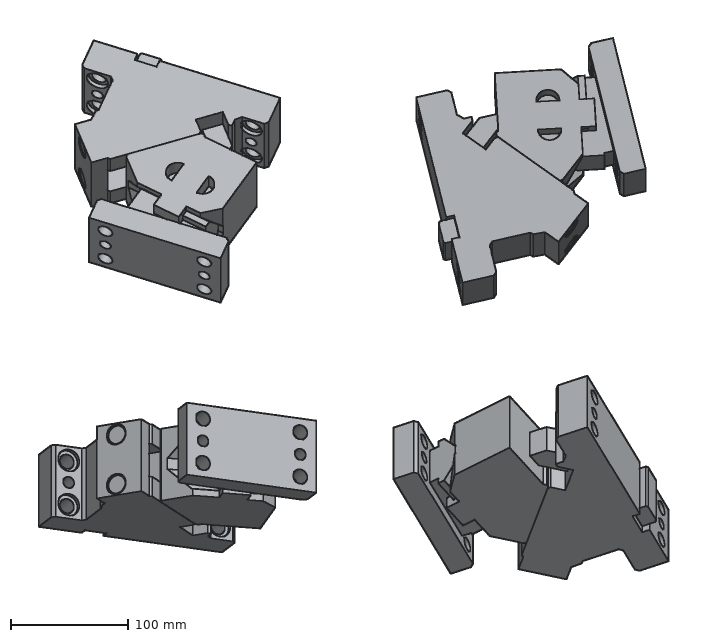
import cadquery as cq
import math


half_width = 32.5
slide_angle = math.radians(40)
guide_angle = math.radians(-10)
screw_spacing = 40.0
screw_diameter = 13.0
dowel_diameter = 10.0
hole_inset = 15.0
plate_chamfer = 3.0

flange_length = 170.0
flange_bottom = 145.3
flange_top = 175.5
counterbore_diameter = 19.5
counterbore_depth = 4.0
key_start = 40.0
key_width = 20.0
key_height = 7.0
key_length = 50.0
key_chamfer = 1.5
web_left = 30.0
web_left_chamfer = 3.0
web_foot_left = 28.0
web_foot_bottom = 107.0
web_foot_chamfer = 2.0
web_right = 142.2
web_right_chamfer = 4.7
web_right_bottom = 133.5

slide_origin = (55.0, 64.2)
retainer_thickness = 14.6
retainer_height = 42.7
slide_face = -1.8
edge_chamfer = 2.0
pocket_start = 84.3
pocket_end = 108.8
pocket_top = 13.3
stop_start = 90.2
stop_right = 144.9
stop_half_width = 14.8
relief_length = 23.2
relief_top = 29.2
retainer_screw_spacing = 44.7
retainer_screw_height = 24.0
recess_diameter = 18.2
recess_floor_diameter = 16.0
recess_depth = 1.1

slider_start = 15.5
slider_end = 86.0
slider_side = 31.0
slider_length = 76.5
slider_height = 70.6
slider_corner = 14.0
hook_start = 23.9
hook_end = 48.7
hook_depth = 12.8
lip_depth = 0.7
finger_hole_radius = 10.0
finger_hole_depth = 15.0
finger_hole_height = 27.0

ridge_half_width = 26.3
ridge_flat = 5.0
ridge_angle = math.radians(35)
neck_half_width = 20.0
rail_thickness = 6.0
driver_start = 1.5
driver_length = 70.0
base_left = 62.5
base_right = 182.5
base_thickness = 22.0
neck_step_height = 30.5
neck_foot_left = 88.1


def flat_plane(origin, angle):
    """Plane parallel to XY at Z = 0, with its first axis turned by the angle."""
    direction = (math.cos(angle), math.sin(angle), 0)
    return cq.Plane(origin=(*origin, 0), xDir=direction, normal=(0, 0, 1))


def place(plane, a, b):
    """World X and Y of a point given in the coordinates of a flat plane."""
    point = plane.toWorldCoords((a, b, 0))
    return point.x, point.y


slide_plane = flat_plane(slide_origin, slide_angle)
guide_plane = flat_plane(place(slide_plane, slider_start, slide_face - slider_side), guide_angle)


def slab(points, half_thickness, plane="XY"):
    """Straight-sided prism, symmetric about Z = 0."""
    return cq.Workplane(plane).polyline(points).close().extrude(half_thickness, both=True)


def box(plane, start, end, half_thickness):
    """Rectangular prism between two opposite corners, symmetric about Z = 0."""
    (a, b), (c, d) = start, end
    return slab([(a, b), (c, b), (c, d), (a, d)], half_thickness, plane)


def hole_rows(x_places, y, depth, diameter, z_places):
    """Round cutters that run toward +Y from the given Y."""
    centers = [(x, z) for x in x_places for z in z_places]
    return cq.Workplane("XZ", origin=(0, y, 0)).pushPoints(centers).circle(diameter / 2).extrude(-depth)


screw_rows = [-screw_spacing / 2, screw_spacing / 2]


def pocket_wall_x(y):
    """X of the pocket end wall at a given Y."""
    rise = y - slide_origin[1]
    return slide_origin[0] + (pocket_end - rise * math.sin(slide_angle)) / math.cos(slide_angle)


def pocket_wall_y(x):
    """Y of the pocket end wall at a given X."""
    run = x - slide_origin[0]
    return slide_origin[1] + (pocket_end - run * math.cos(slide_angle)) / math.sin(slide_angle)


def slider_top_y(x):
    """Y of the slider's far face at a given X."""
    corner_x, corner_y = place(guide_plane, slider_length, slider_height)
    return corner_y + (x - corner_x) * math.tan(guide_angle)


def upper_outline():
    return [
        (0, flange_top),
        (0, flange_bottom + plate_chamfer),
        (plate_chamfer, flange_bottom),
        (web_left - web_left_chamfer, flange_bottom),
        (web_left, flange_bottom - web_left_chamfer),
        (web_left, web_foot_bottom + web_foot_chamfer),
        (web_foot_left, web_foot_bottom),
        place(slide_plane, 0, retainer_height),
        place(slide_plane, 0, 0),
        place(slide_plane, edge_chamfer, slide_face),
        place(slide_plane, pocket_start - edge_chamfer, slide_face),
        place(slide_plane, pocket_start, slide_face + edge_chamfer),
        place(slide_plane, pocket_start, pocket_top),
        place(slide_plane, pocket_end, pocket_top),
        (pocket_wall_x(web_right_bottom), web_right_bottom),
        (web_right, web_right_bottom),
        (web_right, flange_bottom - web_right_chamfer),
        (web_right + web_right_chamfer, flange_bottom),
        (flange_length - plate_chamfer, flange_bottom),
        (flange_length, flange_bottom + plate_chamfer),
        (flange_length, flange_top),
    ]


def key():
    middle = key_start + key_width / 2
    blank = cq.Workplane("XY").box(key_width, 2 * key_height, key_length)
    blank = blank.edges("|Z and >Y").chamfer(key_chamfer)
    return blank.translate((middle, flange_top, 0))


def retainer_plate():
    plate = box(slide_plane, (-retainer_thickness, 0), (0, retainer_height), half_width)
    inward = (math.cos(slide_angle), math.sin(slide_angle), 0)
    for z in (-retainer_screw_spacing / 2, retainer_screw_spacing / 2):
        x, y = place(slide_plane, -retainer_thickness, retainer_screw_height)
        recess = cq.Solid.makeCone(
            recess_diameter / 2,
            recess_floor_diameter / 2,
            recess_depth,
            cq.Vector(x, y, z),
            cq.Vector(*inward),
        )
        plate = plate.cut(cq.Workplane(recess))
    return plate


def stop_block():
    inner_top = place(slide_plane, stop_start, pocket_top)
    side_start = place(slide_plane, stop_start, 0)
    lean = -math.tan(slide_angle)
    slope = math.tan(guide_angle)
    drop = (side_start[1] - slider_top_y(side_start[0])) / (1 - slope * lean)
    inner_bottom = (side_start[0] - lean * drop, side_start[1] - drop)
    return slab(
        [
            inner_top,
            inner_bottom,
            (stop_right, slider_top_y(stop_right)),
            (stop_right, pocket_wall_y(stop_right)),
            place(slide_plane, pocket_end, pocket_top),
        ],
        stop_half_width,
    )


def upper_body():
    body = slab(upper_outline(), half_width)
    flange_depth = flange_top - flange_bottom
    hole_columns = [hole_inset, flange_length - hole_inset]
    body = body.cut(hole_rows(hole_columns, flange_bottom, flange_depth, screw_diameter, screw_rows))
    body = body.cut(
        hole_rows(hole_columns, flange_bottom, counterbore_depth, counterbore_diameter, screw_rows)
    )
    body = body.cut(hole_rows(hole_columns, flange_bottom, flange_depth, dowel_diameter, [0]))
    keyway = box("XY", (key_start, flange_top - key_height), (key_start + key_width, flange_top), half_width)
    relief = box(slide_plane, (0, slide_face), (relief_length, relief_top), stop_half_width)
    body = body.cut(keyway).cut(relief)
    return body.union(key()).union(retainer_plate()).union(stop_block())


def guide_section(half_base, bottom):
    """Closed section of the V ridge with a straight-sided foot down to the given q."""
    height = (ridge_half_width - ridge_flat) * math.tan(ridge_angle)
    shoulder = (ridge_half_width - half_base) * math.tan(ridge_angle)
    return [
        (-half_base, bottom),
        (half_base, bottom),
        (half_base, shoulder),
        (ridge_flat, height),
        (-ridge_flat, height),
        (-half_base, shoulder),
    ]


def guide_prism(half_base, bottom, start, end):
    """Prism of the guide section, running along p."""
    x, y = place(guide_plane, start, 0)
    section_plane = cq.Plane(origin=(x, y, 0), xDir=(0, 0, -1), normal=guide_plane.xDir.toTuple())
    return cq.Workplane(section_plane).polyline(guide_section(half_base, bottom)).close().extrude(end - start)


def slider():
    turn = slide_angle - guide_angle
    span = slider_end - slider_start
    shoulder_v = (slider_height - span * math.sin(turn)) / math.cos(turn)
    shoulder_p = span * math.cos(turn) - shoulder_v * math.sin(turn)
    body = slab(
        [
            place(guide_plane, 0, 0),
            place(slide_plane, slider_start, slide_face - edge_chamfer),
            place(slide_plane, slider_start + edge_chamfer, slide_face),
            place(slide_plane, slider_end - edge_chamfer, slide_face),
            place(slide_plane, slider_end, slide_face - edge_chamfer),
            place(guide_plane, shoulder_p, slider_height),
            place(guide_plane, slider_length, slider_height),
            place(guide_plane, slider_length, slider_corner),
            place(guide_plane, slider_length - slider_corner, 0),
            place(guide_plane, hook_end, 0),
            place(guide_plane, hook_end, -hook_depth),
            place(guide_plane, hook_start, -hook_depth),
            place(guide_plane, hook_start, 0),
        ],
        half_width,
    )

    lip = (
        cq.Workplane(guide_plane)
        .workplane(offset=-half_width)
        .polyline([(0, 0), (lip_depth * math.tan(turn), -lip_depth), (hook_start, -lip_depth), (hook_start, 0)])
        .close()
        .extrude(half_width - ridge_half_width)
    )
    body = body.union(lip)

    channel_start = -slider_length
    channel_end = 2 * slider_length
    body = body.cut(guide_prism(ridge_half_width, -rail_thickness, channel_start, channel_end))
    body = body.cut(guide_prism(neck_half_width, -hook_depth, channel_start, channel_end))

    for p, side in ((hook_start, 1), (hook_end, -1)):
        pocket = (
            cq.Workplane(guide_plane)
            .workplane(offset=half_width - finger_hole_depth)
            .moveTo(p, finger_hole_height - finger_hole_radius)
            .threePointArc(
                (p - side * finger_hole_radius, finger_hole_height),
                (p, finger_hole_height + finger_hole_radius),
            )
            .close()
            .extrude(finger_hole_depth)
        )
        body = body.cut(pocket)
    return body


def driver():
    end = driver_start + driver_length
    ridge = guide_prism(ridge_half_width, -rail_thickness, hook_start, end)
    ridge = ridge.union(guide_prism(neck_half_width, -rail_thickness, driver_start, end))

    def edge_x(p, y):
        """X at a given Y on the neck side through p."""
        corner_x, corner_y = place(guide_plane, p, 0)
        return corner_x + (y - corner_y) * math.tan(-guide_angle)

    neck = slab(
        [
            place(guide_plane, driver_start, 0),
            (edge_x(driver_start, neck_step_height), neck_step_height),
            (neck_foot_left, neck_step_height),
            (neck_foot_left, base_thickness),
            (edge_x(end, base_thickness), base_thickness),
            place(guide_plane, end, 0),
        ],
        neck_half_width,
    )
    base = box("XY", (base_left, 0), (base_right, base_thickness), half_width)
    base = base.edges("|Z and >Y").chamfer(plate_chamfer)
    hole_columns = [base_left + hole_inset, base_right - hole_inset]
    base = base.cut(hole_rows(hole_columns, 0, base_thickness, screw_diameter, screw_rows))
    base = base.cut(hole_rows(hole_columns, 0, base_thickness, dowel_diameter, [0]))
    return base.union(neck).union(ridge)


upper = upper_body()
slide = slider()
drive = driver()

result = cq.Compound.makeCompound([upper.val(), slide.val(), drive.val()])